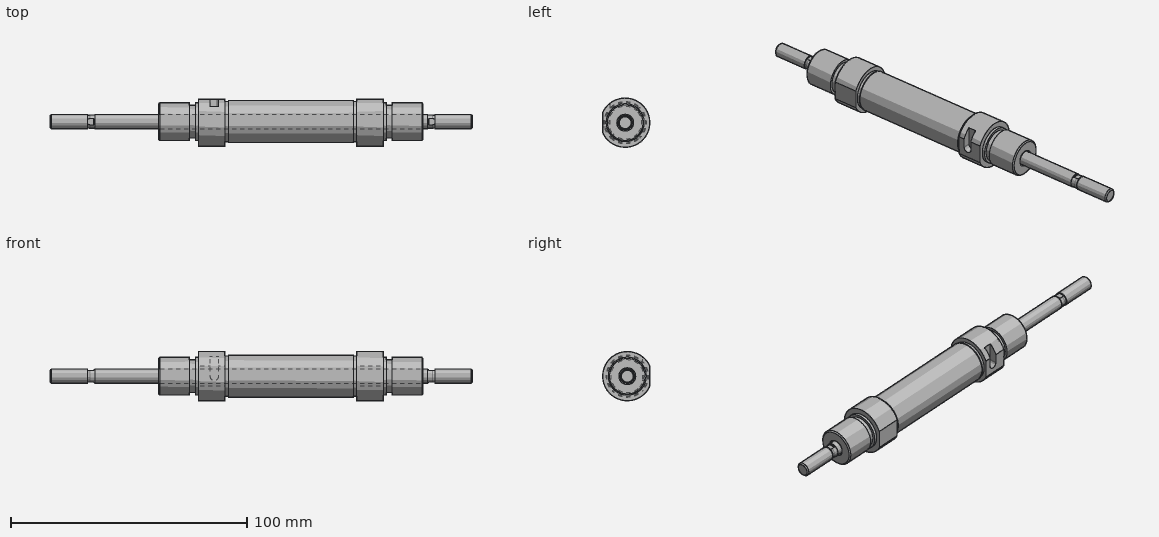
import cadquery as cq


rod_length = 179.0
long_rod_reach = 102.0
short_rod_reach = rod_length - long_rod_reach
rod_radius = 3.0
tip_chamfer = 0.5
thread_length = 16.0
relief_length = 1.0
relief_root_radius = 2.7
wrench_section_radius = 2.9
wrench_section_length = 3.0
wrench_flat_width = 5.0

tube_half_length = 26.5
tube_radius = 9.0

flange_inner = 28.0
flange_outer = 39.2
groove_inner = 40.5
groove_outer = 43.0
cover_face = 56.0
neck_radius = 8.6
flange_diameter = 21.0
flange_radius = flange_diameter / 2
cover_thread_radius = 8.0
groove_radius = 7.0
thread_chamfer = 0.5
bore_chamfer = 0.5
flange_width = 20.0
flange_flat = flange_width - flange_radius

port_width = 3.5
port_depth = 3.2
port_position = -32.4


def revolve_about_x(outline):
    """Turn a closed outline of (x, radius) points into a solid about the X axis."""
    return cq.Workplane("XZ").polyline(outline).close().revolve(360, (0, 0, 0), (1, 0, 0))


def make_rod_end(reach):
    """Half of the rod, from the tube middle to a threaded tip on the +X side."""
    thread_end = reach - thread_length
    wrench_start = thread_end - wrench_section_length
    profile = [
        (0, 0),
        (0, rod_radius),
        (wrench_start, rod_radius),
        (wrench_start, wrench_section_radius),
        (thread_end - relief_length, wrench_section_radius),
        (thread_end, relief_root_radius),
        (thread_end, rod_radius),
        (reach - tip_chamfer, rod_radius),
        (reach, rod_radius - tip_chamfer),
        (reach, 0),
    ]
    rod_end = revolve_about_x(profile)

    flat_height = wrench_flat_width / 2
    slope = rod_radius - flat_height
    upper_notch = (
        cq.Workplane("XZ")
        .polyline([
            (wrench_start, rod_radius),
            (wrench_start + slope, flat_height),
            (thread_end, flat_height),
            (thread_end, rod_radius),
        ])
        .close()
        .extrude(rod_radius, both=True)
    )
    return rod_end.cut(upper_notch).cut(upper_notch.mirror("XY"))


def make_rod():
    long_end = make_rod_end(long_rod_reach).mirror("YZ")
    return make_rod_end(short_rod_reach).union(long_end)


def make_tube():
    """Plain tube that the rod runs through."""
    return (
        cq.Workplane("YZ", origin=(-tube_half_length, 0, 0))
        .circle(tube_radius)
        .circle(rod_radius)
        .extrude(2 * tube_half_length)
    )


def make_cover():
    """End cover on the +X side: neck, flange with one flat, groove and mounting thread."""
    profile = [
        (tube_half_length, rod_radius),
        (tube_half_length, neck_radius),
        (flange_inner, neck_radius),
        (flange_inner, flange_radius),
        (flange_outer, flange_radius),
        (flange_outer, cover_thread_radius),
        (groove_inner, cover_thread_radius),
        (groove_inner, groove_radius),
        (groove_outer, groove_radius),
        (groove_outer, cover_thread_radius),
        (cover_face - thread_chamfer, cover_thread_radius),
        (cover_face, cover_thread_radius - thread_chamfer),
        (cover_face, rod_radius + bore_chamfer),
        (cover_face - bore_chamfer, rod_radius),
    ]
    beyond_flat = (
        cq.Workplane("XY")
        .box(cover_face, flange_radius, 2 * flange_radius, centered=(False, False, True))
        .translate((tube_half_length, flange_flat, 0))
    )
    return revolve_about_x(profile).cut(beyond_flat)


def cut_port(cover):
    """Cut a round-bottomed slot into the flat, open towards +Z."""
    slot_floor = flange_flat - port_depth
    port_radius = port_width / 2
    slot = (
        cq.Workplane("XZ", origin=(port_position, slot_floor, 0))
        .moveTo(-port_radius, flange_radius)
        .lineTo(-port_radius, 0)
        .threePointArc((0, -port_radius), (port_radius, 0))
        .lineTo(port_radius, flange_radius)
        .close()
        .extrude(-port_depth)
    )
    return cover.cut(slot)


rod = make_rod()
tube = make_tube()
plain_cover = make_cover()
ported_cover = cut_port(plain_cover.mirror("YZ"))

result = cq.Compound.makeCompound([
    rod.val(),
    tube.val(),
    plain_cover.val(),
    ported_cover.val(),
])